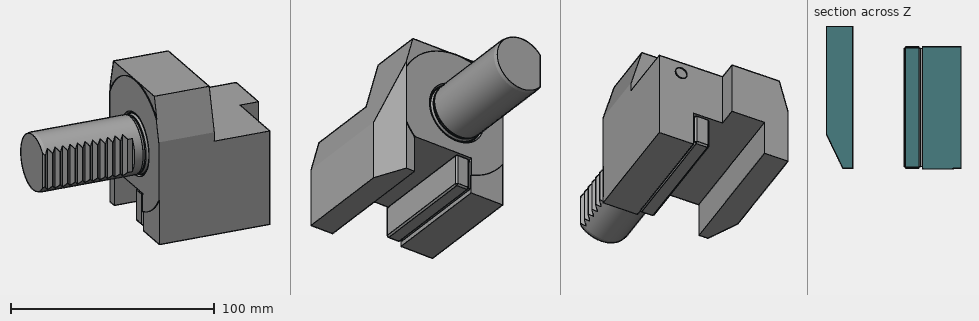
import cadquery as cq
import math


LEFT_X = -38.0
RIGHT_X = 28.0
TOP_Z = 34.0
BOTTOM_Z = -43.0
TOP_LEFT_X = -26.0
TOP_RIGHT_X = 22.0
SIDE_LEAN = math.radians(15)
LEFT_SLOPE_Z = TOP_Z - (TOP_LEFT_X - LEFT_X) / math.tan(SIDE_LEAN)
RIGHT_SLOPE_Z = TOP_Z - (RIGHT_X - TOP_RIGHT_X) / math.tan(SIDE_LEAN)
BACK_Y = 70.0

PAD_RADIUS = TOP_Z
PAD_HEIGHT = 0.4

STEP_Y = 30.0
STEP_Z = 7.0
NOTCH_X = -7.0
NOTCH_DEPTH = 10.0
BEVEL_WIDTH = 8.0
BEVEL_LENGTH = 16.5
CHANNEL_LEFT_X = -25.0
CHANNEL_RIGHT_X = 9.0
CHANNEL_TOP_Z = -23.0

SHANK_LENGTH = 55.0
SHANK_RADIUS = 30.0 / 2
NECK_RADIUS = 29.1 / 2
NECK_LENGTH = 1.2
NECK_TAPER_LENGTH = 1.2
ROOT_RADIUS = 15.1
ROOT_FLARE_LENGTH = 0.6
END_TAPER_LENGTH = 1.9
END_RADIUS = NECK_RADIUS

GROOVE_MOUTH_RADIUS = 16.4
GROOVE_FLOOR_RADIUS = 15.6
GROOVE_DEPTH = 0.8

FLAT_X = 12.1
FLAT_START_Y = -7.0
TOOTH_DEPTH = 1.9
VALLEY_COUNT = 12
FIRST_VALLEY_Y = -11.4
LAST_VALLEY_Y = -56.0
TOOTH_PITCH = (FIRST_VALLEY_Y - LAST_VALLEY_Y) / (VALLEY_COUNT - 1)

BAR_LEFT_X = 0.1
BAR_RIGHT_X = 8.0
BAR_TOP_Z = -23.4
BAR_BOTTOM_Z = -41.2
BAR_FRONT_Y = 0.4
BAR_CHAMFER = 0.9

PLUG_RADIUS = 6.4 / 2
PLUG_X = 16.0
PLUG_HEIGHT = 0.5

NOTCH_Y = BACK_Y - NOTCH_DEPTH


def box(x_range, y_range, z_range):
    """Box spanning the given (low, high) pairs."""
    spans = (x_range, y_range, z_range)
    sizes = [high - low for low, high in spans]
    corner = tuple(low for low, high in spans)
    return cq.Workplane("XY").box(*sizes, centered=False).translate(corner)


def along_y(start_y, end_y):
    """XZ workplane at start_y, with the signed extrusion distance that reaches end_y."""
    return cq.Workplane("XZ", origin=(0, start_y, 0)), start_y - end_y


def make_body():
    plane, distance = along_y(0, BACK_Y)
    body = plane.polyline([
        (LEFT_X, BOTTOM_Z),
        (RIGHT_X, BOTTOM_Z),
        (RIGHT_X, RIGHT_SLOPE_Z),
        (TOP_RIGHT_X, TOP_Z),
        (TOP_LEFT_X, TOP_Z),
        (LEFT_X, LEFT_SLOPE_Z),
    ]).close().extrude(distance)

    step = box((LEFT_X, RIGHT_X), (STEP_Y, BACK_Y), (STEP_Z, TOP_Z))
    notch = box((NOTCH_X, RIGHT_X), (NOTCH_Y, BACK_Y), (BOTTOM_Z, TOP_Z))
    channel = box((CHANNEL_LEFT_X, CHANNEL_RIGHT_X), (0, BACK_Y), (BOTTOM_Z, CHANNEL_TOP_Z))
    bevel = (
        cq.Workplane("XY", origin=(0, 0, BOTTOM_Z))
        .polyline([
            (LEFT_X, PAD_HEIGHT),
            (LEFT_X, PAD_HEIGHT + BEVEL_LENGTH),
            (LEFT_X + BEVEL_WIDTH, PAD_HEIGHT),
            (LEFT_X + BEVEL_WIDTH, 0),
            (LEFT_X, 0),
        ])
        .close()
        .extrude(TOP_Z - BOTTOM_Z)
    )
    body = body.cut(step).cut(notch).cut(channel).cut(bevel)

    plane, distance = along_y(0, PAD_HEIGHT)
    around_pad = box((LEFT_X, RIGHT_X), (0, PAD_HEIGHT), (BOTTOM_Z, TOP_Z)).cut(
        plane.circle(PAD_RADIUS).extrude(distance)
    )
    return body.cut(around_pad)


def make_groove():
    return (
        cq.Workplane("XY")
        .polyline([
            (0, 0),
            (GROOVE_MOUTH_RADIUS, 0),
            (GROOVE_FLOOR_RADIUS, GROOVE_DEPTH),
            (0, GROOVE_DEPTH),
        ])
        .close()
        .revolve(360, (0, 0), (0, 1))
    )


def make_shank():
    taper_end_y = -NECK_LENGTH - NECK_TAPER_LENGTH
    shank = (
        cq.Workplane("XY")
        .polyline([
            (0, GROOVE_DEPTH),
            (ROOT_RADIUS, GROOVE_DEPTH),
            (NECK_RADIUS, -ROOT_FLARE_LENGTH),
            (NECK_RADIUS, -NECK_LENGTH),
            (SHANK_RADIUS, taper_end_y),
            (SHANK_RADIUS, END_TAPER_LENGTH - SHANK_LENGTH),
            (END_RADIUS, -SHANK_LENGTH),
            (0, -SHANK_LENGTH),
        ])
        .close()
        .revolve(360, (0, 0), (0, 1))
    )
    flat = box(
        (FLAT_X, SHANK_RADIUS),
        (-SHANK_LENGTH, FLAT_START_Y),
        (-SHANK_RADIUS, SHANK_RADIUS),
    )
    shank = shank.cut(flat)
    for index in range(VALLEY_COUNT):
        valley_y = FIRST_VALLEY_Y - index * TOOTH_PITCH
        valley = (
            cq.Workplane("XY", origin=(FLAT_X, valley_y, 0))
            .polyline([(0, TOOTH_DEPTH), (-TOOTH_DEPTH, 0), (0, -TOOTH_DEPTH)])
            .close()
            .extrude(SHANK_RADIUS, both=True)
        )
        shank = shank.cut(valley)
    return shank


def make_clamping_bar():
    bar = box((BAR_LEFT_X, BAR_RIGHT_X), (BAR_FRONT_Y, NOTCH_Y), (BAR_BOTTOM_Z, BAR_TOP_Z))
    bar = bar.edges().chamfer(BAR_CHAMFER)
    web = box(
        (BAR_RIGHT_X - BAR_CHAMFER, CHANNEL_RIGHT_X),
        (BAR_FRONT_Y + BAR_CHAMFER, NOTCH_Y - BAR_CHAMFER),
        (BAR_BOTTOM_Z + BAR_CHAMFER, BAR_TOP_Z - BAR_CHAMFER),
    )
    return bar.union(web)


def make_plug():
    plane, distance = along_y(NOTCH_Y, NOTCH_Y + PLUG_HEIGHT)
    return plane.center(PLUG_X, 0).circle(PLUG_RADIUS).extrude(distance)


result = (
    make_body()
    .cut(make_groove())
    .union(make_shank())
    .union(make_clamping_bar())
    .union(make_plug())
)